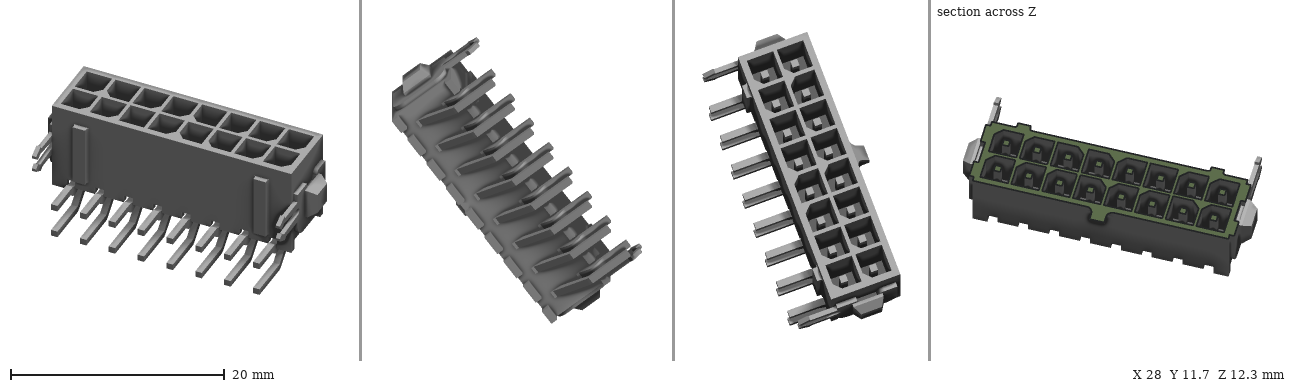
import cadquery as cq
import math


body_length = 24.85
body_width = 6.92
body_height = 8.1
total_width = 11.73
half_length = body_length / 2
half_width = body_width / 2

columns = 8
pitch = 3.0
row_y = pitch / 2
column_xs = [(i - (columns - 1) / 2) * pitch for i in range(columns)]

pocket_size = 2.63
pocket_key = 0.7
floor_thickness = 1.5
rear_keys = "RLRRLRRR"
front_keys = "RR-RLLRR"

skirt_thickness = 0.67
skirt_depth = 0.75
foot_depth = 1.1
slot_width = 0.98

latch_width = 1.48
latch_reach = 1.3
latch_end_y = half_width + latch_reach
latch_bottom_z = 5.15
latch_lip_z = 6.25
latch_fillet = 0.6

pin_width = 0.67
pin_tip_z = body_height - 2.25
heel_z = -0.35
heel_length = 0.28
tail_end_y = latch_end_y - total_width
tail_thickness = 0.65
rear_tail_z = -4.15
front_tail_z = rear_tail_z + pitch
rear_slope_top_y = 0.95
rear_knee_upper = (-2.38, -3.28)
rear_knee_lower = (-2.32, -3.98)
rear_tail_start_y = -2.6
front_slope_top_y = -1.95
dip_inner_start = (-2.63, -0.65)
dip_inner_middle = (-3.15, -0.7)
dip_inner_end_y = -3.65
dip_outer_start = (-2.63, -1.55)
dip_outer_bottom = (-3.25, -1.7)
dip_outer_end = (-3.8, -1.43)
dip_blend_middle = (-4.0, -1.23)
dip_blend_end_y = -4.28

rib_x = 9.38
rib_width = 1.3
rib_reach = 0.5
rib_fillet = 0.2
rib_bottom_z = 0.35
rib_top_z = 6.7

clip_thickness = 0.45
clip_half_width = 3.0
clip_top_z = 5.5
clip_bottom_z = 0.5
clip_corner = 1.23
clip_mid_z = 3.5
clip_notch_top_y = 1.2
clip_notch_bottom_y = 1.0
clip_notch_front_y = -1.0
clip_notch_round = 0.5
clip_notch_margin = 0.55
block_size = 3.02
block_straight = 0.3
block_inset = 0.48
block_end_x = 14.0

tine_outer_height = 1.12
tine_root_height = 0.35
tine_neck_height = 0.62
tine_neck_y = -5.95
barb_peak_y = -5.82
barb_peak_height = 1.4
upper_barb_ramp = 0.1
lower_barb_ramp = 0.35
tine_tip_y = -6.83
tine_tip_outer_height = 0.87
tine_tip_inner_height = 0.6
tine_hook_y = -6.45
tine_hook_height = 0.28
tine_slot_end_y = -2.63

arc_middle = 1 - math.sqrt(0.5)


def box(x0, x1, y0, y1, z0, z1):
    return cq.Workplane("XY").box(x1 - x0, y1 - y0, z1 - z0, centered=False).translate((x0, y0, z0))


def across_x(profile, width, x_centre):
    """Extrude a closed YZ profile symmetrically about x_centre."""
    return profile.close().extrude(width / 2, both=True).translate((x_centre, 0, 0))


def make_pocket(x, y, key):
    """Square pocket, open at the top, with one keyed corner."""
    pocket = (
        cq.Workplane("XY", origin=(x, y, floor_thickness))
        .rect(pocket_size, pocket_size)
        .extrude(body_height - floor_thickness)
    )
    if key == "L":
        pocket = pocket.edges("|Z and <X and <Y").chamfer(pocket_key)
    elif key == "R":
        pocket = pocket.edges("|Z and >X and <Y").chamfer(pocket_key)
    return pocket


def make_skirt(side):
    """Slotted skirt under a long wall, ending in a deeper foot at each corner."""
    inner = side * (half_width - skirt_thickness)
    y0, y1 = sorted((inner, side * half_width))
    skirt = box(-half_length, half_length, y0, y1, -foot_depth, 0)
    foot_inner = column_xs[-1]
    skirt = skirt.cut(box(-foot_inner, foot_inner, y0, y1, -foot_depth, -skirt_depth))
    for x in column_xs:
        skirt = skirt.cut(box(x - slot_width / 2, x + slot_width / 2, y0, y1, -foot_depth, 0))
    return skirt


def make_housing():
    housing = box(-half_length, half_length, -half_width, half_width, 0, body_height)
    for side in (-1, 1):
        housing = housing.union(make_skirt(side))
    for y, keys in ((row_y, rear_keys), (-row_y, front_keys)):
        for x, key in zip(column_xs, keys):
            housing = housing.cut(make_pocket(x, y, key))
    return housing


def make_latch():
    """Ramped catch, with concave fillets where it meets the rear wall."""
    half_base = latch_width / 2 + latch_fillet
    fillet_y = half_width + latch_fillet
    bend = latch_fillet * arc_middle
    plan = (
        cq.Workplane("XY")
        .moveTo(-half_base, half_width)
        .threePointArc(
            (-latch_width / 2 - bend, half_width + bend), (-latch_width / 2, fillet_y)
        )
        .lineTo(-latch_width / 2, latch_end_y)
        .lineTo(latch_width / 2, latch_end_y)
        .lineTo(latch_width / 2, fillet_y)
        .threePointArc(
            (latch_width / 2 + bend, half_width + bend), (half_base, half_width)
        )
        .close()
        .extrude(body_height)
    )
    side = across_x(
        cq.Workplane("YZ")
        .moveTo(half_width, body_height)
        .lineTo(latch_end_y, latch_lip_z)
        .lineTo(latch_end_y, latch_bottom_z)
        .lineTo(fillet_y, latch_bottom_z)
        .threePointArc(
            (half_width + bend, latch_bottom_z - bend),
            (half_width, latch_bottom_z - latch_fillet),
        ),
        2 * half_base,
        0,
    )
    return plan.intersect(side)


def make_rib(x):
    """Upright rib on the front wall with concave fillets along its base."""
    half_base = rib_width / 2 + rib_fillet
    bend = rib_fillet * arc_middle
    return (
        cq.Workplane("XY", origin=(x, -half_width, rib_bottom_z))
        .moveTo(-half_base, 0)
        .threePointArc((-rib_width / 2 - bend, -bend), (-rib_width / 2, -rib_fillet))
        .lineTo(-rib_width / 2, -rib_reach)
        .lineTo(rib_width / 2, -rib_reach)
        .lineTo(rib_width / 2, -rib_fillet)
        .threePointArc((rib_width / 2 + bend, -bend), (half_base, 0))
        .close()
        .extrude(rib_top_z - rib_bottom_z)
    )


def make_post(x, y):
    """Upright part of a contact, from its heel below the floor to its tip."""
    half = pin_width / 2
    return box(x - half, x + half, y - half, y + half, heel_z, pin_tip_z)


def make_rear_contact(x):
    """Straight slope from the floor down to a low tail."""
    heel_y = row_y + pin_width / 2
    tail = (
        cq.Workplane("YZ")
        .moveTo(heel_y, floor_thickness / 2)
        .lineTo(heel_y, heel_z)
        .lineTo(heel_y - heel_length, heel_z)
        .lineTo(*rear_knee_lower)
        .lineTo(rear_tail_start_y, rear_tail_z)
        .lineTo(tail_end_y, rear_tail_z)
        .lineTo(tail_end_y, rear_tail_z + tail_thickness)
        .lineTo(rear_tail_start_y, rear_tail_z + tail_thickness)
        .lineTo(*rear_knee_upper)
        .lineTo(rear_slope_top_y, 0)
        .lineTo(rear_slope_top_y, floor_thickness / 2)
    )
    return make_post(x, row_y).union(across_x(tail, pin_width, x))


def make_front_contact(x):
    """Short slope with a rounded dip under the front skirt, then a high tail."""
    heel_y = -row_y + pin_width / 2
    tail = (
        cq.Workplane("YZ")
        .moveTo(heel_y, floor_thickness / 2)
        .lineTo(heel_y, heel_z)
        .lineTo(heel_y - heel_length, heel_z)
        .lineTo(*dip_outer_start)
        .threePointArc(dip_outer_bottom, dip_outer_end)
        .threePointArc(dip_blend_middle, (dip_blend_end_y, front_tail_z))
        .lineTo(tail_end_y, front_tail_z)
        .lineTo(tail_end_y, front_tail_z + tail_thickness)
        .lineTo(dip_inner_end_y, front_tail_z + tail_thickness)
        .threePointArc(dip_inner_middle, dip_inner_start)
        .lineTo(front_slope_top_y, 0)
        .lineTo(front_slope_top_y, floor_thickness / 2)
    )
    return make_post(x, -row_y).union(across_x(tail, pin_width, x))


def make_clip_notch():
    """Opening in the top edge of the clip plate, rounded over at its rear corner."""
    bottom_z = clip_mid_z + block_size / 2 - clip_notch_margin
    round_y = clip_notch_top_y + clip_notch_round
    round_z = clip_top_z - clip_notch_round
    bend = clip_notch_round * arc_middle
    return (
        cq.Workplane("YZ", origin=(half_length, 0, 0))
        .moveTo(clip_notch_front_y, bottom_z)
        .lineTo(clip_notch_front_y, clip_top_z)
        .lineTo(round_y, clip_top_z)
        .threePointArc(
            (clip_notch_top_y + bend, clip_top_z - bend), (clip_notch_top_y, round_z)
        )
        .lineTo(clip_notch_bottom_y, bottom_z)
        .close()
        .extrude(clip_thickness)
    )


def make_tine(side, barb_ramp):
    """Barbed clip leg above (side = 1) or below (side = -1) the clip middle."""
    outline = [
        (tine_slot_end_y, tine_outer_height),
        (barb_peak_y + barb_ramp, tine_outer_height),
        (barb_peak_y, barb_peak_height),
        (tine_tip_y, tine_tip_outer_height),
        (tine_tip_y, tine_tip_inner_height),
        (tine_hook_y, tine_hook_height),
        (tine_neck_y, tine_neck_height),
        (-clip_half_width, tine_root_height),
        (tine_slot_end_y, tine_root_height),
    ]
    points = [(y, clip_mid_z + side * height) for y, height in outline]
    return cq.Workplane("YZ", origin=(half_length, 0, 0)).polyline(points).close().extrude(clip_thickness)


def make_tine_slot():
    """Rounded end of the gap between the tines, cut into the clip plate."""
    return (
        cq.Workplane("YZ", origin=(half_length, 0, 0))
        .moveTo(-clip_half_width, clip_mid_z + tine_root_height)
        .threePointArc(
            (tine_slot_end_y, clip_mid_z), (-clip_half_width, clip_mid_z - tine_root_height)
        )
        .close()
        .extrude(clip_thickness)
    )


def make_block():
    """Square block on the clip plate, tapering to a smaller end face."""
    start_x = half_length + clip_thickness
    tip_size = block_size - 2 * block_inset
    return (
        cq.Workplane("YZ", origin=(start_x, 0, clip_mid_z))
        .rect(block_size, block_size)
        .extrude(block_straight)
        .faces(">X")
        .workplane()
        .rect(block_size, block_size)
        .workplane(offset=block_end_x - start_x - block_straight)
        .rect(tip_size, tip_size)
        .loft(combine=True)
    )


def make_end():
    """Board clip with its two tines and block, on the +X end."""
    clip = box(
        half_length, half_length + clip_thickness,
        -clip_half_width, clip_half_width,
        clip_bottom_z, clip_top_z,
    )
    clip = clip.edges("|X and <Z").fillet(clip_corner)
    clip = clip.union(make_tine(1, upper_barb_ramp))
    clip = clip.union(make_tine(-1, lower_barb_ramp))
    clip = clip.cut(make_clip_notch()).cut(make_tine_slot())
    return clip.union(make_block())


result = make_housing().union(make_latch())
for rib_centre in (-rib_x, rib_x):
    result = result.union(make_rib(rib_centre))
for column_x in column_xs:
    result = result.union(make_rear_contact(column_x))
    result = result.union(make_front_contact(column_x))
end = make_end()
result = result.union(end).union(end.mirror("YZ"))